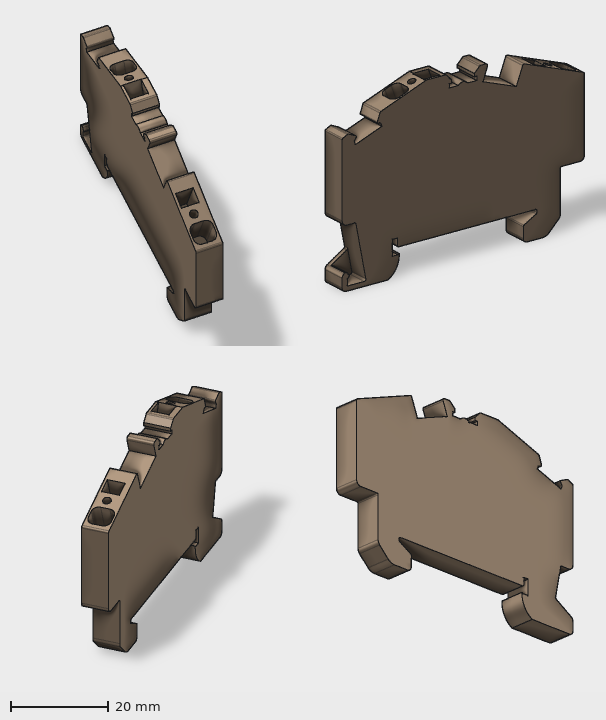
import cadquery as cq
import math

LENGTH = 61.5
THICKNESS = 6.0
HEIGHT = 42.0

DECK_ANGLE = math.radians(20)
DECK_SIN = math.sin(DECK_ANGLE)
DECK_COS = math.cos(DECK_ANGLE)
DECK_TAN = math.tan(DECK_ANGLE)

TINY_ROUND = 0.2
SMALL_ROUND = 0.3
MEDIUM_ROUND = 0.4
LARGE_ROUND = 0.5

HOUSING_BOTTOM = 14.65
HOUSING_CORNER_RADIUS = 1.2
LEFT_CREASE_X = 21.37
LEFT_DECK_END_X = 9.65
LEFT_LIP_X = 8.8
LEFT_LIP_Z = 35.3
LEFT_LIP_ROOT_X = 9.75
RIGHT_DECK_START_X = 45.95
RIGHT_EDGE_Z = 34.1

LEFT_EDGE_Z = 34.05
RIDGE_PEAK_X = 1.48
RIDGE_PEAK_Z = 34.8
RIDGE_TIP_X = 3.75
RIDGE_TIP_Z = 33.8
RIDGE_UNDERCUT_X = 3.05
RIDGE_UNDERCUT_Z = 32.8

MARKER_START_X = 3.4
MARKER_START_Z = 32.0
MARKER_END_X = 10.1

CHANNEL_CENTER_X = 30.68
CHANNEL_FLOOR_Z = 38.86
CHANNEL_HALF_WIDTH = 3.48
CHANNEL_LIP_HALF_WIDTH = 2.87
CHANNEL_LIP_Z = 39.8
CHANNEL_CHAMFER = 1.45
BUMP_HALF_WIDTH = 1.2
BUMP_HEIGHT = 0.55

POST_TOP_X = 37.15
NOTCH_LEFT_X = 35.75
NOTCH_LEFT_Z = 38.2
NOTCH_RIGHT_X = 44.2

RAIL_Z = 6.7
FOOT_TOP_Z = 5.0
FOOT_CORNER_RADIUS = 1.0
FOOT_BARB_LENGTH = 0.3
FOOT_BARB_HEIGHT = 0.2
LEFT_FOOT_X = 12.75
LEFT_FOOT_TIP_X = 14.5
LEFT_FOOT_FLAT_END_X = 11.6
LEFT_FOOT_MID = (13.33, 1.46)
RELIEF_TOP_Z = 8.74
RELIEF_RIGHT_X = 13.98
RIGHT_FOOT_X = 45.97
RIGHT_FOOT_LIP_Z = 3.85
RIGHT_RECESS_X = 49.4
RIGHT_RECESS_Z = 5.75
RIGHT_LEG_X = 55.4
RIGHT_FOOT_CHAMFER = 3.6
CHAMFER_TOP_RADIUS = 1.5
CHAMFER_BOTTOM_RADIUS = 2.5

ARM_TOP_X = 3.45
ARM_BOTTOM_X = 6.1
LEVER_FLOOR_Z = 1.12
LEVER_WALL_X = 1.3
LEVER_TOP_Z = 3.75
LEVER_EDGE_RADIUS = 1.1
FINGER_START_Z = 2.6
FINGER_BULGE_X = 1.9
FINGER_BULGE_Z = 3.35
FINGER_TIP_X = 1.1
FINGER_TIP_Z = 4.2
WEB_THICKNESS = 1.1
WEB_TOP_Z = 6.85
OPEN_MARGIN = 2.0

OPENING_DEPTH = 10.0
OPENING_Y = 2.6
WIRE_WIDTH = 5.05
WIRE_LENGTH = 4.65
WIRE_CORNER_RADIUS = 1.5
WIRE_Y = THICKNESS / 2
TEST_HOLE_DIAMETER = 1.8
POCKET_WIDTH = 3.95
LEFT_WIRE_X = 15.65
LEFT_TEST_X = 19.54
LEFT_POCKET_START_X = 21.24
LEFT_POCKET_LENGTH = 3.74
RIGHT_WIRE_X = 58.14
RIGHT_TEST_X = 54.06
RIGHT_POCKET_START_X = 49.03
RIGHT_POCKET_LENGTH = 3.35


def left_deck_z(x):
    return HEIGHT - (LEFT_CREASE_X - x) * DECK_TAN


def right_deck_z(x):
    return RIGHT_EDGE_Z + (LENGTH - x) * DECK_TAN


def arm_x(z):
    """X of the slanted lever arm face at height z."""
    share = (HOUSING_BOTTOM - z) / (HOUSING_BOTTOM - LEVER_FLOOR_Z)
    return ARM_TOP_X + share * (ARM_BOTTOM_X - ARM_TOP_X)


def draw_corner(sketch, previous, corner, following):
    """Draw up to a corner (x, z, radius), rounding it when its radius is above zero."""
    x, z, radius = corner
    if radius == 0:
        return sketch.lineTo(x, z)
    here = cq.Vector(x, z)
    toward_previous = (cq.Vector(previous[0], previous[1]) - here).normalized()
    toward_following = (cq.Vector(following[0], following[1]) - here).normalized()
    half_angle = toward_previous.getAngle(toward_following) / 2
    tangent_length = radius / math.tan(half_angle)
    bisector = (toward_previous + toward_following).normalized()
    start = here + toward_previous * tangent_length
    middle = here + bisector * (radius / math.sin(half_angle) - radius)
    end = here + toward_following * tangent_length
    return sketch.lineTo(start.x, start.y).threePointArc((middle.x, middle.y), (end.x, end.y))


def draw_corners(sketch, corners):
    """Draw all corners but the first and last, which only set the end directions."""
    for previous, corner, following in zip(corners, corners[1:], corners[2:]):
        sketch = draw_corner(sketch, previous, corner, following)
    return sketch


def make_body():
    """Full-thickness plate with the outline of the terminal block."""
    marker_end_z = MARKER_START_Z + (MARKER_END_X - MARKER_START_X) * DECK_TAN
    notch_right_z = NOTCH_LEFT_Z - (NOTCH_RIGHT_X - NOTCH_LEFT_X) * DECK_TAN
    channel_left = CHANNEL_CENTER_X - CHANNEL_HALF_WIDTH
    channel_right = CHANNEL_CENTER_X + CHANNEL_HALF_WIDTH
    lip_left = CHANNEL_CENTER_X - CHANNEL_LIP_HALF_WIDTH
    lip_right = CHANNEL_CENTER_X + CHANNEL_LIP_HALF_WIDTH
    chamfer_z = HEIGHT - CHANNEL_CHAMFER
    bump_start = (CHANNEL_CENTER_X - BUMP_HALF_WIDTH, CHANNEL_FLOOR_Z)
    bump_top = (CHANNEL_CENTER_X, CHANNEL_FLOOR_Z + BUMP_HEIGHT)
    bump_end = (CHANNEL_CENTER_X + BUMP_HALF_WIDTH, CHANNEL_FLOOR_Z)
    foot_tip = (LEFT_FOOT_TIP_X, FOOT_TOP_Z + FOOT_BARB_HEIGHT)
    foot_flat_end = (LEFT_FOOT_FLAT_END_X, 0)

    left_top = [
        foot_flat_end,
        (0, 0, FOOT_CORNER_RADIUS),
        (0, LEVER_TOP_Z, LEVER_EDGE_RADIUS),
        (arm_x(WEB_TOP_Z), WEB_TOP_Z, MEDIUM_ROUND),
        (ARM_TOP_X, HOUSING_BOTTOM, SMALL_ROUND),
        (0, HOUSING_BOTTOM, HOUSING_CORNER_RADIUS),
        (0, LEFT_EDGE_Z, SMALL_ROUND),
        (RIDGE_PEAK_X, RIDGE_PEAK_Z, MEDIUM_ROUND),
        (RIDGE_TIP_X, RIDGE_TIP_Z, SMALL_ROUND),
        (RIDGE_UNDERCUT_X, RIDGE_UNDERCUT_Z, TINY_ROUND),
        (MARKER_START_X, MARKER_START_Z, 0),
        (MARKER_END_X, marker_end_z, 0),
        (LEFT_LIP_ROOT_X, LEFT_LIP_Z, SMALL_ROUND),
        (LEFT_LIP_X, LEFT_LIP_Z, SMALL_ROUND),
        (LEFT_DECK_END_X, left_deck_z(LEFT_DECK_END_X), LARGE_ROUND),
        (LEFT_CREASE_X, HEIGHT, 0),
        (lip_left - CHANNEL_CHAMFER, HEIGHT, LARGE_ROUND),
        (lip_left, chamfer_z, 0),
        (lip_left, CHANNEL_LIP_Z, 0),
        (channel_left, CHANNEL_LIP_Z, 0),
        (channel_left, CHANNEL_FLOOR_Z, 0),
        bump_start,
    ]
    right_side = [
        bump_end,
        (channel_right, CHANNEL_FLOOR_Z, 0),
        (channel_right, CHANNEL_LIP_Z, 0),
        (lip_right, CHANNEL_LIP_Z, 0),
        (lip_right, chamfer_z, 0),
        (lip_right + CHANNEL_CHAMFER, HEIGHT, LARGE_ROUND),
        (POST_TOP_X, HEIGHT, LARGE_ROUND),
        (NOTCH_LEFT_X, NOTCH_LEFT_Z, 0),
        (NOTCH_RIGHT_X, notch_right_z, 0),
        (RIGHT_DECK_START_X, right_deck_z(RIGHT_DECK_START_X), MEDIUM_ROUND),
        (LENGTH, RIGHT_EDGE_Z, LARGE_ROUND),
        (LENGTH, HOUSING_BOTTOM, HOUSING_CORNER_RADIUS),
        (RIGHT_LEG_X, HOUSING_BOTTOM, SMALL_ROUND),
        (RIGHT_LEG_X, RIGHT_FOOT_CHAMFER, CHAMFER_TOP_RADIUS),
        (RIGHT_LEG_X - RIGHT_FOOT_CHAMFER, 0, CHAMFER_BOTTOM_RADIUS),
        (RIGHT_FOOT_X, 0, FOOT_CORNER_RADIUS),
        (RIGHT_FOOT_X, RIGHT_FOOT_LIP_Z, SMALL_ROUND),
        (RIGHT_RECESS_X, RIGHT_RECESS_Z, SMALL_ROUND),
        (RIGHT_RECESS_X, RAIL_Z, SMALL_ROUND),
        (RELIEF_RIGHT_X, RAIL_Z, MEDIUM_ROUND),
        (RELIEF_RIGHT_X, RELIEF_TOP_Z, 0),
        (LEFT_FOOT_X, RELIEF_TOP_Z, 0),
        (LEFT_FOOT_X, FOOT_TOP_Z, 0),
        (LEFT_FOOT_TIP_X - FOOT_BARB_LENGTH, FOOT_TOP_Z, 0),
        foot_tip,
    ]
    sketch = cq.Workplane("XZ").moveTo(*foot_flat_end)
    sketch = draw_corners(sketch, left_top).lineTo(*bump_start)
    sketch = sketch.threePointArc(bump_top, bump_end)
    sketch = draw_corners(sketch, right_side).lineTo(*foot_tip)
    sketch = sketch.threePointArc(LEFT_FOOT_MID, foot_flat_end).close()
    return sketch.extrude(-THICKNESS)


def make_lever_cavity():
    """Open space in front of the lever web, behind the hooked finger edge."""
    outside = (-OPEN_MARGIN, FINGER_TIP_Z)
    above = (arm_x(WEB_TOP_Z + OPEN_MARGIN), WEB_TOP_Z + OPEN_MARGIN)
    corners = [
        above,
        (ARM_BOTTOM_X, LEVER_FLOOR_Z, MEDIUM_ROUND),
        (LEVER_WALL_X, LEVER_FLOOR_Z, TINY_ROUND),
        (LEVER_WALL_X, FINGER_START_Z, 0),
        (FINGER_BULGE_X, FINGER_BULGE_Z, SMALL_ROUND),
        (FINGER_TIP_X, FINGER_TIP_Z, MEDIUM_ROUND),
        outside,
    ]
    sketch = draw_corners(cq.Workplane("XZ").moveTo(*above), corners)
    sketch = sketch.lineTo(*outside).lineTo(-OPEN_MARGIN, WEB_TOP_Z + OPEN_MARGIN).close()
    return sketch.extrude(-(THICKNESS - WEB_THICKNESS))


def make_openings(deck_z, side, wire_x, test_x, pocket_start_x, pocket_length):
    """Wire opening, test hole and pocket of one deck; side is -1 for left, +1 for right."""

    def deck_plane(x, y):
        plane = cq.Plane(
            origin=(x, y, deck_z(x)),
            xDir=(DECK_COS, 0, -side * DECK_SIN),
            normal=(side * DECK_SIN, 0, DECK_COS),
        )
        return cq.Workplane(plane).workplane(offset=-OPENING_DEPTH)

    wire_axis_edges = cq.selectors.ParallelDirSelector(cq.Vector(side * DECK_SIN, 0, DECK_COS))
    cut_height = OPENING_DEPTH + OPEN_MARGIN
    wire = deck_plane(wire_x, WIRE_Y).rect(WIRE_LENGTH, WIRE_WIDTH).extrude(cut_height)
    wire = wire.edges(wire_axis_edges).fillet(WIRE_CORNER_RADIUS)
    test_hole = deck_plane(test_x, OPENING_Y).circle(TEST_HOLE_DIAMETER / 2).extrude(cut_height)
    pocket = deck_plane(pocket_start_x, OPENING_Y).center(pocket_length / 2, 0)
    pocket = pocket.rect(pocket_length, POCKET_WIDTH).extrude(cut_height)
    return [wire, test_hole, pocket]


left_openings = make_openings(
    left_deck_z, -1, LEFT_WIRE_X, LEFT_TEST_X, LEFT_POCKET_START_X, LEFT_POCKET_LENGTH
)
right_openings = make_openings(
    right_deck_z, 1, RIGHT_WIRE_X, RIGHT_TEST_X, RIGHT_POCKET_START_X, RIGHT_POCKET_LENGTH
)

result = make_body().cut(make_lever_cavity())
for opening in left_openings + right_openings:
    result = result.cut(opening)